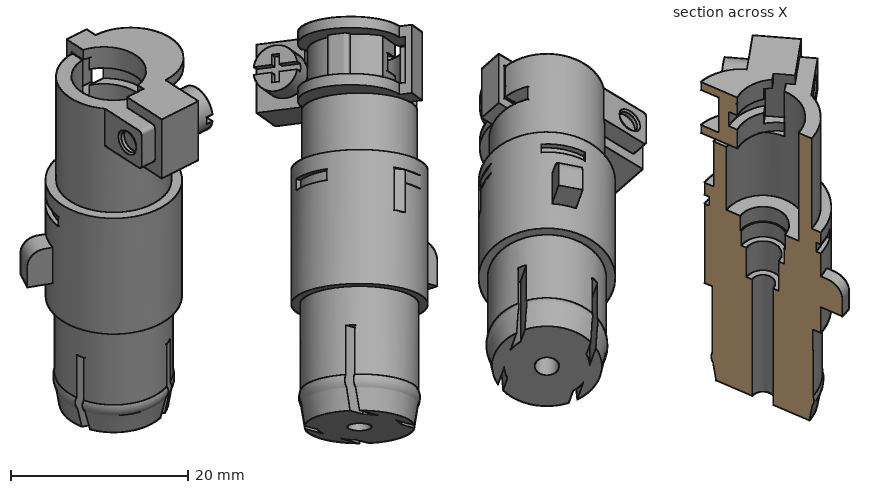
import cadquery as cq
import math

total_height = 46.0

spigot_radius = 6.7
bottom_radius = 6.2
bead_radius = 6.85
bead_root_radius = 6.62
bead_bottom_z = 2.6
bead_top_z = 4.15
collar_radius = 7.75
collar_bottom_z = 14.55
collar_top_z = 30.4
neck_radius = 6.55
neck_top_z = 44.57

socket_radius = 4.8
socket_floor_z = 27.6
contact_bores = [(2.95, 25.3), (2.8, 23.0), (2.1, 18.4)]
through_radius = 1.4

spigot_slot_x = 4.25
spigot_slot_width = 0.8
spigot_slot_top_z = 10.0
spigot_slot_floor_radius = 4.85

window_width = 5.1
window_bottom_z = 27.1
window_top_z = 28.45
window_depth = 0.6
side_window_y = 1.5
side_window_bottom_z = 23.6
side_window_top_z = 28.65
side_window_depth = 0.45
side_groove_width = 2.7
key_width = 2.8
key_reach = 10.6
key_bottom_z = 18.6
key_top_z = 23.5
key_rounding = 2.02

clamp_angle = 25.0
clamp_bottom_z = 37.9
plate_thickness = 1.35
clamp_left_u = -7.5
jaw_right_u = 11.6
jaw_left_u = 5.65
jaw_front_v = -3.0
clamp_front_v = -0.5
clamp_back_v = 2.55
disk_radius = 6.0
clamp_bore_v = -1.5
left_wall_thickness = 0.85
core_radius = 5.9
core_left_u = -4.45
rib_width = 2.65
rib_back_v = 6.55
rib_rounding = 0.55
bore_groove_radius = 5.9
bore_groove_bottom_z = 40.95
bore_groove_top_z = 43.1
jaw_recess_back_v = 0.4

gap_bottom_z = 37.5
gap_top_z = 39.55
gap_left_v = -3.35
neck_right_v = -1.95

flange_right_u = 10.45
flange_front_v = -5.0
flange_bottom_z = 39.45
flange_rounding = 0.45
screw_u = 8.0
screw_z = 41.9
screw_hole_radius = 1.3
screw_hole_chamfer = 0.25
screw_hole_depth = 0.7
head_radius = 2.7
head_end_v = 5.47
cross_width = 0.9
cross_depth = 0.9
cross_arm = 1.65

gap_floor_z = clamp_bottom_z + plate_thickness
gap_ceiling_z = total_height - plate_thickness


def box(x0, x1, y0, y1, z0, z1):
    """Box given by its limits along the three axes."""
    return cq.Workplane("XY").box(x1 - x0, y1 - y0, z1 - z0, centered=False).translate((x0, y0, z0))


def disk(radius, z0, z1, y=0.0):
    """Upright cylinder centred at (0, y)."""
    return cq.Workplane("XY", origin=(0, y, z0)).circle(radius).extrude(z1 - z0)


def turn(shape):
    """Turn a shape built in the clamp frame into its place on the body."""
    return shape.rotate((0, 0, 0), (0, 0, 1), clamp_angle)


def turned_body():
    bead_middle_z = (bead_bottom_z + bead_top_z) / 2
    return (
        cq.Workplane("XZ")
        .moveTo(0, 0)
        .lineTo(bottom_radius, 0)
        .lineTo(bead_root_radius, bead_bottom_z)
        .threePointArc((bead_radius, bead_middle_z), (spigot_radius, bead_top_z))
        .lineTo(spigot_radius, collar_bottom_z)
        .lineTo(collar_radius, collar_bottom_z)
        .lineTo(collar_radius, collar_top_z)
        .lineTo(neck_radius, collar_top_z)
        .lineTo(neck_radius, neck_top_z)
        .lineTo(0, neck_top_z)
        .close()
        .revolve(360, (0, 0, 0), (0, 1, 0))
    )


def bore():
    cut = disk(through_radius, 0, total_height)
    cut = cut.union(disk(socket_radius, socket_floor_z, total_height))
    for radius, floor_z in contact_bores:
        cut = cut.union(disk(radius, floor_z, total_height))
    return cut


def spigot_slots():
    half = spigot_slot_width / 2
    cut = None
    for x in (-spigot_slot_x, spigot_slot_x):
        slot = box(x - half, x + half, -collar_radius, collar_radius, 0, spigot_slot_top_z)
        cut = slot if cut is None else cut.union(slot)
    return cut.cut(disk(spigot_slot_floor_radius, 0, spigot_slot_top_z))


def collar_windows():
    half = window_width / 2
    cut = box(-half, half, -collar_radius, collar_radius, window_bottom_z, window_top_z)
    cut = cut.cut(disk(collar_radius - window_depth, window_bottom_z, window_top_z))
    floor_x = side_window_depth - math.sqrt(collar_radius**2 - side_window_y**2)
    taper = (
        cq.Workplane("XY", origin=(0, 0, side_window_bottom_z))
        .polyline([(-collar_radius, 0), (-collar_radius, side_window_y), (floor_x, side_window_y)])
        .close()
        .extrude(side_window_top_z - side_window_bottom_z)
    )
    end_x = -math.sqrt(collar_radius**2 - side_groove_width**2)
    groove = (
        cq.Workplane("XY", origin=(0, 0, window_bottom_z))
        .polyline([(-collar_radius, 0), (-collar_radius, -side_groove_width), (end_x, -side_groove_width)])
        .close()
        .extrude(side_window_top_z - window_bottom_z)
    )
    return cut.union(taper).union(groove)


def key():
    block = box(-key_width / 2, key_width / 2, -key_reach, -spigot_radius, key_bottom_z, key_top_z)
    return block.edges("|X and >Z and <Y").fillet(key_rounding)


def neck_cuts():
    far = 2 * neck_radius
    left = box(-far, 0, clamp_front_v, far, gap_bottom_z, total_height)
    gap = box(-far, 0, gap_left_v, far, gap_bottom_z, gap_top_z)
    right = box(0, far, neck_right_v, far, gap_bottom_z, total_height)
    return left.union(gap).union(right)


def flange():
    plate = box(0, flange_right_u, flange_front_v, jaw_front_v, flange_bottom_z, neck_top_z)
    plate = plate.edges("|Y and >X").fillet(flange_rounding)
    return plate.cut(disk(socket_radius, flange_bottom_z, neck_top_z))


def clamp():
    outline = box(clamp_left_u, jaw_left_u, clamp_front_v, clamp_back_v, clamp_bottom_z, total_height)
    outline = outline.union(disk(disk_radius, clamp_bottom_z, total_height, clamp_back_v))
    far = 2 * disk_radius
    outline = outline.cut(box(-far, far, -far, clamp_front_v, clamp_bottom_z, total_height))

    core = disk(core_radius, gap_floor_z, gap_ceiling_z)
    core = core.intersect(
        box(core_left_u, jaw_left_u, clamp_front_v, far, gap_floor_z, gap_ceiling_z)
    )
    rib = box(-rib_width / 2, rib_width / 2, clamp_back_v, rib_back_v, gap_floor_z, gap_ceiling_z)
    core = core.union(rib.edges("|Z and >Y").fillet(rib_rounding))

    wall_u = clamp_left_u + left_wall_thickness
    space = box(wall_u, far, clamp_front_v, far, gap_floor_z, gap_ceiling_z).cut(core)

    groove = disk(bore_groove_radius, bore_groove_bottom_z, bore_groove_top_z, clamp_bore_v)
    recess = box(0, jaw_left_u, jaw_front_v, jaw_recess_back_v, gap_floor_z, gap_ceiling_z)

    jaw = box(jaw_left_u, jaw_right_u, jaw_front_v, clamp_back_v, clamp_bottom_z, total_height)
    floor = box(0, jaw_left_u, jaw_front_v, clamp_front_v, clamp_bottom_z, gap_floor_z)
    body = outline.cut(space).cut(groove).cut(recess).union(jaw).union(floor)
    return body.cut(disk(socket_radius, clamp_bottom_z, total_height, clamp_bore_v))


def screw_head():
    def centred(width, height):
        return box(
            screw_u - width / 2, screw_u + width / 2,
            head_end_v - cross_depth, head_end_v,
            screw_z - height / 2, screw_z + height / 2,
        )

    head = (
        cq.Workplane("XZ", origin=(screw_u, clamp_back_v, screw_z))
        .circle(head_radius)
        .extrude(clamp_back_v - head_end_v)
    )
    head = head.cut(centred(2 * head_radius, cross_width))
    return head.cut(centred(cross_width, 2 * cross_arm))


def screw_hole():
    plane = cq.Workplane("XZ", origin=(screw_u, flange_front_v, screw_z))
    hole = plane.circle(screw_hole_radius).extrude(-screw_hole_depth)
    cone = cq.Solid.makeCone(
        screw_hole_radius + screw_hole_chamfer, screw_hole_radius, screw_hole_chamfer,
        cq.Vector(screw_u, flange_front_v, screw_z), cq.Vector(0, 1, 0),
    )
    return hole.union(cq.Workplane(cone))


body = turned_body().cut(spigot_slots()).cut(collar_windows()).union(key())
body = body.cut(bore()).cut(turn(neck_cuts()))
clamp_parts = clamp().union(flange()).union(screw_head()).cut(screw_hole())
result = body.union(turn(clamp_parts))